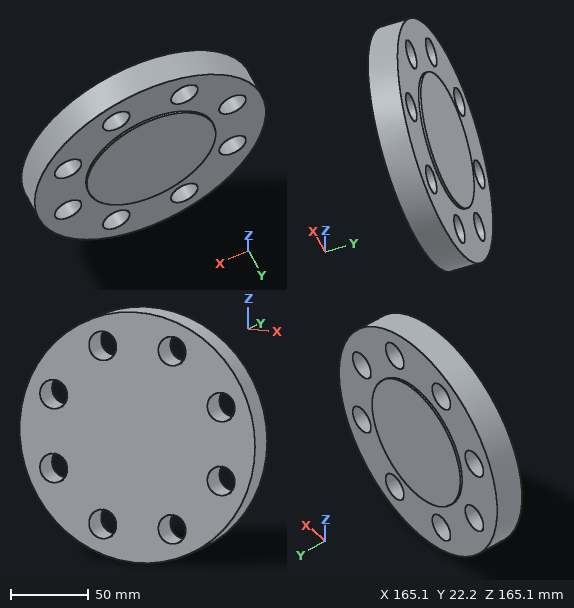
import cadquery as cq

flange_diameter = 165.1
total_thickness = 22.16
raised_face_diameter = 91.95
raised_face_height = 1.52
bolt_circle_diameter = 127.0
bolt_hole_diameter = 19.05
bolt_hole_count = 8

plate_thickness = total_thickness - raised_face_height
half_hole_spacing_angle = 360.0 / bolt_hole_count / 2


def disc(diameter, start_y, thickness):
    """Solid disc about the Y axis, growing from start_y toward +Y."""
    front_plane = cq.Workplane("XZ", origin=(0, start_y, 0))
    return front_plane.circle(diameter / 2).extrude(-thickness)


def bolt_holes():
    """Through-hole cutters, with the holes straddling the X and Z axes."""
    front_plane = cq.Workplane("XZ")
    centres = front_plane.polarArray(
        bolt_circle_diameter / 2, half_hole_spacing_angle, 360, bolt_hole_count
    )
    return centres.circle(bolt_hole_diameter / 2).extrude(-plate_thickness)


plate = disc(flange_diameter, 0, plate_thickness)
raised_face = disc(raised_face_diameter, plate_thickness, raised_face_height)

result = plate.union(raised_face).cut(bolt_holes())